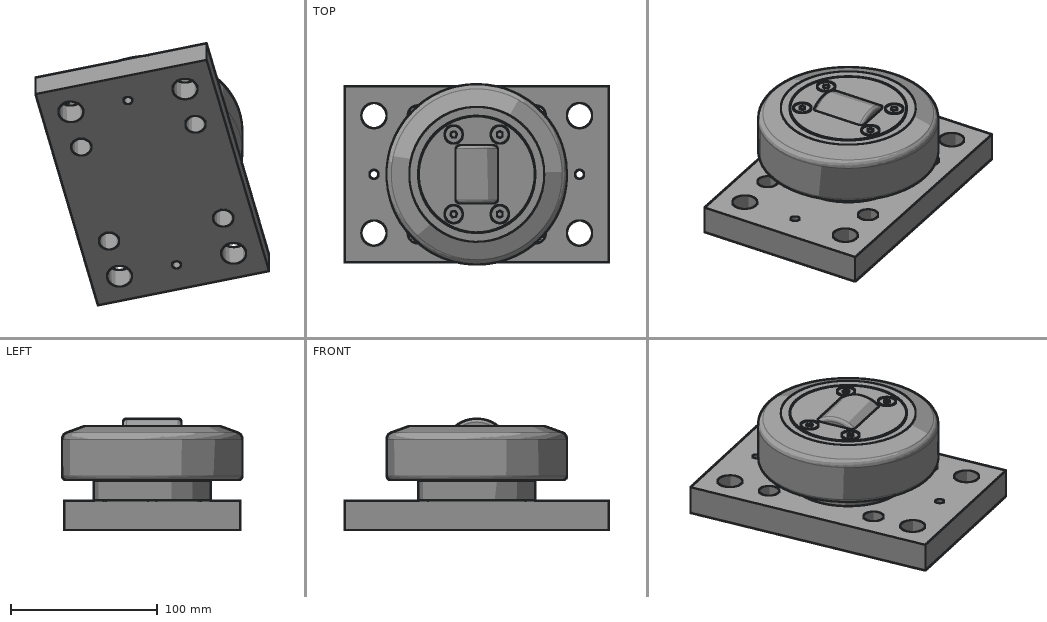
import cadquery as cq
import math

PLATE_LENGTH = 180.0
PLATE_WIDTH = 120.0
PLATE_THICKNESS = 20.0
CORNER_HOLE_DIAMETER = 17.0
MIDDLE_HOLE_DIAMETER = 6.0
END_HOLE_SPACING = 140.0
CORNER_HOLE_SPACING = 80.0
INNER_HOLE_DIAMETER = 13.84
INNER_HOLE_SPACING = 80.0

HUB_DIAMETER = 80.0
HUB_CHAMFER = 0.5
WHEEL_DIAMETER = 123.0
WHEEL_BOTTOM = 34.0
WHEEL_TOP = 71.0
WHEEL_FLAT_DIAMETER = 92.0
WHEEL_CONE_ANGLE = 20.0
WHEEL_SHOULDER_RADIUS = 5.0
WHEEL_BOTTOM_RADIUS = 3.0

COVER_DIAMETER = 80.0
COVER_CHAMFER = 0.5

SCREW_SPACING_X = 31.4
SCREW_SPACING_Y = 54.2
SCREW_HEAD_DIAMETER = 12.0
SCREW_GROOVE_WIDTH = 0.25
SCREW_GROOVE_DEPTH = 0.5
SOCKET_ACROSS_FLATS = 4.0
SOCKET_DEPTH = 0.5
LEFT_SOCKET_ANGLE = 7.0
RIGHT_SOCKET_ANGLE = 30.0

ROLLER_RADIUS = 23.0
ROLLER_LENGTH = 40.0
ROLLER_EDGE_RADIUS = 2.5
ROLLER_TOP = 76.0
ROLLER_SINK = 1.0


def drill_grid(plate, spacing_x, spacing_y, rows, diameter):
    """Drill two columns of through holes, centred on the plate."""
    return plate.faces(">Z").workplane().rarray(spacing_x, spacing_y, 2, rows).hole(diameter)


def make_plate():
    plate = cq.Workplane("XY").box(PLATE_LENGTH, PLATE_WIDTH, PLATE_THICKNESS, centered=(True, True, False))
    plate = drill_grid(plate, END_HOLE_SPACING, CORNER_HOLE_SPACING, 2, CORNER_HOLE_DIAMETER)
    plate = drill_grid(plate, END_HOLE_SPACING, CORNER_HOLE_SPACING, 1, MIDDLE_HOLE_DIAMETER)
    return drill_grid(plate, INNER_HOLE_SPACING, INNER_HOLE_SPACING, 2, INNER_HOLE_DIAMETER)


def make_hub():
    """Short column with chamfered ends between the plate and the wheel."""
    return (
        cq.Workplane("XY", origin=(0, 0, PLATE_THICKNESS))
        .circle(HUB_DIAMETER / 2)
        .extrude(WHEEL_BOTTOM - PLATE_THICKNESS)
        .edges("%CIRCLE")
        .chamfer(HUB_CHAMFER)
    )


def make_wheel():
    """Wheel with a conical upper face, a rounded shoulder and a rounded lower edge."""
    rim_radius = WHEEL_DIAMETER / 2
    flat_radius = WHEEL_FLAT_DIAMETER / 2
    cone_drop = (rim_radius - flat_radius) * math.tan(math.radians(WHEEL_CONE_ANGLE))
    shoulder_height = WHEEL_TOP - cone_drop
    wheel = (
        cq.Workplane("XZ")
        .moveTo(0, WHEEL_BOTTOM)
        .lineTo(rim_radius, WHEEL_BOTTOM)
        .lineTo(rim_radius, shoulder_height)
        .lineTo(flat_radius, WHEEL_TOP)
        .lineTo(0, WHEEL_TOP)
        .close()
        .revolve(360, (0, 0, 0), (0, 1, 0))
    )
    wheel = wheel.faces("<Z").edges().fillet(WHEEL_BOTTOM_RADIUS)
    return wheel.faces("%CONE").edges("<Z").fillet(WHEEL_SHOULDER_RADIUS)


def make_guide_roller():
    """Upper part of the roller, from just under the cover face upward."""
    roller = (
        cq.Workplane("XZ", origin=(0, 0, ROLLER_TOP - ROLLER_RADIUS))
        .circle(ROLLER_RADIUS)
        .extrude(ROLLER_LENGTH / 2, both=True)
        .edges("%CIRCLE")
        .fillet(ROLLER_EDGE_RADIUS)
    )
    kept_bottom = WHEEL_TOP - ROLLER_SINK
    kept_block = cq.Workplane("XY", origin=(0, 0, kept_bottom)).box(
        2 * ROLLER_RADIUS, ROLLER_LENGTH, ROLLER_TOP - kept_bottom, centered=(True, True, False)
    )
    return roller.intersect(kept_block)


def make_cover_groove():
    """V-shaped ring left by the chamfer on the edge of the cover."""
    cover_radius = COVER_DIAMETER / 2
    return (
        cq.Workplane("XZ")
        .moveTo(cover_radius, WHEEL_TOP)
        .lineTo(cover_radius, WHEEL_TOP - COVER_CHAMFER)
        .lineTo(cover_radius - COVER_CHAMFER, WHEEL_TOP)
        .close()
        .revolve(360, (0, 0, 0), (0, 1, 0))
    )


def make_screw_cuts(x, y, socket_angle):
    """Ring gap around one screw head, and the hexagon socket in the head."""
    head_radius = SCREW_HEAD_DIAMETER / 2
    screw_top = cq.Workplane("XY", origin=(x, y, WHEEL_TOP))
    ring = (
        screw_top
        .circle(head_radius + SCREW_GROOVE_WIDTH)
        .circle(head_radius)
        .extrude(-SCREW_GROOVE_DEPTH)
    )
    socket = (
        screw_top
        .transformed(rotate=(0, 0, socket_angle))
        .polygon(6, SOCKET_ACROSS_FLATS / math.cos(math.pi / 6))
        .extrude(-SOCKET_DEPTH)
    )
    return ring.union(socket)


body = make_plate().union(make_hub()).union(make_wheel())
body = body.cut(make_cover_groove())
for side, angle in ((-1, LEFT_SOCKET_ANGLE), (1, RIGHT_SOCKET_ANGLE)):
    for end in (-1, 1):
        body = body.cut(make_screw_cuts(side * SCREW_SPACING_X / 2, end * SCREW_SPACING_Y / 2, angle))
result = body.union(make_guide_roller())